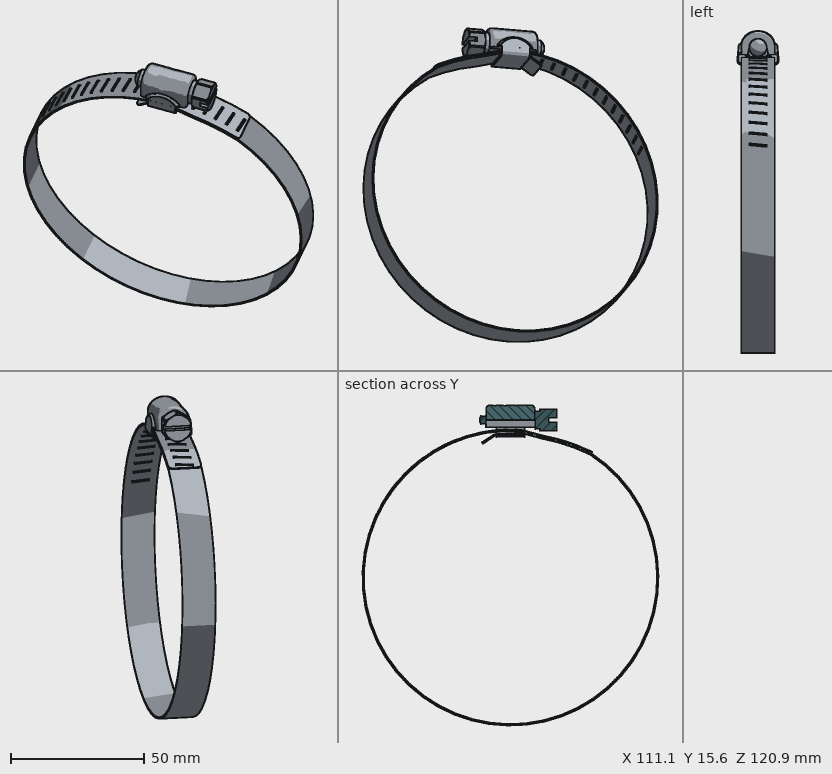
import cadquery as cq
import math


ring_radius = 55.55
band_width = 12.7
band_thickness = 0.6
band_corner_radius = 1.5
lap_gap = 0.03
overall_height = 120.85
inner_radius = ring_radius - band_thickness

bend_angle = 4.1
exit_angle = 5.6
crease_angle = 12.9
lap_middle_angle = 22.9
tip_angle = 33.1
exit_radius = 55.30
crease_radius = 54.60
lap_middle_radius = 55.18
layer_pitch = band_thickness + lap_gap
tip_radius = ring_radius + layer_pitch

tail_bend_x = -5.9
tail_bend_z = 53.75
tail_length = 5.7
tail_slope = 33.0

slot_count = 21
first_slot_angle = -66.1
slot_pitch_angle = 4.87
slot_length = 6.5
slot_width = 0.7
slot_tilt = 6.0

housing_length = 18.5
housing_end_x = housing_length / 2
housing_top = overall_height - ring_radius
housing_half_width = band_width / 2
shoulder_z = 59.6
housing_bottom = 56.3
housing_end_radius = 1.45
mouth_half_width = 3.9
mouth_top_half_width = 3.3

ear_outer_half = 6.9
ear_outer_top = 60.75
ear_face_half = 5.4
ear_face_top = 59.55
ear_spring_z = 57.0
ear_top_y = 7.2
overall_width = 15.63
saddle_half_width = overall_width / 2
saddle_bottom = 52.6
saddle_thickness = 0.5
saddle_corner_radius = 1.7

screw_axis_z = 59.05
shank_radius = 2.6
knob_radius = 3.3
dome_height = 1.9
dome_start_x = -11.1
collar_radius = 4.5
head_start_x = 11.0
head_end_x = 17.4
head_flats = 10.0
head_round_radius = 5.6
head_chamfer = 0.5
drive_slot_width = 1.6
drive_slot_depth = 3.0


def polar(angle, radius):
    """Point in XZ at an angle measured clockwise from the top."""
    turn = math.radians(angle)
    return (radius * math.sin(turn), radius * math.cos(turn))


def extrude_across(outline, width):
    """Extrude a closed XZ outline symmetrically about the XZ plane."""
    return outline.extrude(width / 2, both=True)


def draw_upper_lap(outline):
    """Continue an outline from the bend out to the tip and back along the inside."""
    depth = band_thickness
    return (
        outline.lineTo(*polar(crease_angle, crease_radius))
        .threePointArc(polar(lap_middle_angle, lap_middle_radius), polar(tip_angle, tip_radius))
        .lineTo(*polar(tip_angle, tip_radius - depth))
        .threePointArc(
            polar(lap_middle_angle, lap_middle_radius - depth),
            polar(crease_angle, crease_radius - depth),
        )
        .lineTo(*polar(bend_angle, inner_radius))
    )


def make_plain_band():
    """Unpunched strip: tail, lower lap, once round the ring, upper lap."""
    slope = math.radians(tail_slope)
    far_angle = (tip_angle + bend_angle + 360) / 2
    tail_end_x = tail_bend_x - tail_length * math.cos(slope)
    tail_end_z = tail_bend_z - tail_length * math.sin(slope)
    top = layer_pitch
    bottom = layer_pitch + band_thickness
    outline = (
        cq.Workplane("XZ")
        .moveTo(tail_end_x, tail_end_z)
        .lineTo(tail_bend_x, tail_bend_z)
        .lineTo(*polar(exit_angle, exit_radius - top))
        .lineTo(*polar(crease_angle, crease_radius - top))
        .threePointArc(polar(lap_middle_angle, lap_middle_radius - top), polar(tip_angle, ring_radius))
        .threePointArc(polar(far_angle, ring_radius), polar(bend_angle, ring_radius))
    )
    outline = (
        draw_upper_lap(outline)
        .threePointArc(polar(far_angle, inner_radius), polar(tip_angle, inner_radius))
        .threePointArc(
            polar(lap_middle_angle, lap_middle_radius - bottom),
            polar(crease_angle, crease_radius - bottom),
        )
        .lineTo(*polar(exit_angle, exit_radius - bottom))
        .lineTo(tail_bend_x, tail_bend_z - band_thickness)
        .line(
            tail_end_x - tail_bend_x + band_thickness * math.sin(slope),
            tail_end_z - tail_bend_z + band_thickness * (1 - math.cos(slope)),
        )
        .close()
    )
    strip = extrude_across(outline, band_width)
    tip_x, tip_z = polar(tip_angle, tip_radius - band_thickness / 2)
    tail_middle_x = tail_end_x + band_thickness * math.sin(slope) / 2
    tail_middle_z = tail_end_z - band_thickness * math.cos(slope) / 2
    for x, z in ((tip_x, tip_z), (tail_middle_x, tail_middle_z)):
        for y in (-band_width / 2, band_width / 2):
            corner = cq.selectors.NearestToPointSelector((x, y, z))
            strip = strip.edges(corner).fillet(band_corner_radius)
    return strip


def make_slots():
    """Tilted radial slots, confined to the upper layer so the lower lap stays whole."""
    layer_start = 2 * first_slot_angle
    middle_angle = (layer_start + bend_angle) / 2
    outline = (
        cq.Workplane("XZ")
        .moveTo(*polar(layer_start, ring_radius))
        .threePointArc(polar(middle_angle, ring_radius), polar(bend_angle, ring_radius))
    )
    outline = (
        draw_upper_lap(outline)
        .threePointArc(polar(middle_angle, inner_radius), polar(layer_start, inner_radius))
        .close()
    )
    layer = extrude_across(outline, band_width)
    punch = (
        cq.Workplane("XY")
        .box(slot_width, slot_length, 8 * band_thickness)
        .rotate((0, 0, 0), (0, 0, 1), -slot_tilt)
        .translate((0, 0, ring_radius))
    )
    slots = []
    for index in range(slot_count):
        angle = first_slot_angle + index * slot_pitch_angle
        slots.append(punch.rotate((0, 0, 0), (0, 1, 0), angle).intersect(layer))
    return slots


def make_band():
    strip = make_plain_band()
    for slot in make_slots():
        strip = strip.cut(slot)
    return strip


def make_crown():
    """Block with an elliptical top and rounded ends."""
    block = (
        cq.Workplane("YZ", origin=(-housing_end_x, 0, 0))
        .moveTo(housing_half_width, housing_bottom)
        .lineTo(housing_half_width, shoulder_z)
        .ellipseArc(housing_half_width, housing_top - shoulder_z, 0, 180)
        .lineTo(-housing_half_width, housing_bottom)
        .close()
        .extrude(housing_length)
    )
    outer_edges = block.faces("<X or >X").edges("not <Z")
    return outer_edges.fillet(housing_end_radius)


def make_side_envelope(inset, half_length):
    """Block whose section follows the leaning ear faces and the rounded saddle."""
    half = saddle_half_width - inset
    floor = saddle_bottom + inset
    radius = saddle_corner_radius - inset
    block = (
        cq.Workplane("YZ", origin=(-half_length, 0, 0))
        .moveTo(-ear_top_y + inset, ear_outer_top)
        .lineTo(-half, floor + radius)
        .radiusArc((radius - half, floor), -radius)
        .lineTo(half - radius, floor)
        .radiusArc((half, floor + radius), -radius)
        .lineTo(ear_top_y - inset, ear_outer_top)
        .close()
    )
    return block.extrude(2 * half_length)


def make_ear():
    """Bulge on the -Y wall, narrowing from the wall to its leaning flat face."""
    cone = (
        cq.Workplane("XZ", origin=(0, -housing_half_width, 0))
        .moveTo(-ear_outer_half, housing_bottom)
        .lineTo(-ear_outer_half, ear_spring_z)
        .threePointArc((0, ear_outer_top), (ear_outer_half, ear_spring_z))
        .lineTo(ear_outer_half, housing_bottom)
        .close()
        .workplane(offset=saddle_half_width - housing_half_width)
        .moveTo(-ear_face_half, housing_bottom)
        .lineTo(-ear_face_half, ear_spring_z)
        .threePointArc((0, ear_face_top), (ear_face_half, ear_spring_z))
        .lineTo(ear_face_half, housing_bottom)
        .close()
        .loft(ruled=True)
    )
    return cone.intersect(make_side_envelope(0, ear_outer_half))


def make_saddle():
    """Strap that runs from both ears down and under the band."""
    strap = make_side_envelope(0, ear_face_half).cut(
        make_side_envelope(saddle_thickness, ear_face_half)
    )
    above_ears = cq.Workplane("XY", origin=(0, 0, ear_spring_z)).box(
        4 * ear_face_half, 4 * saddle_half_width, housing_top, centered=(True, True, False)
    )
    return strap.cut(above_ears)


def make_screw_passage():
    """Bore for the shank, open and widening toward the band."""
    bore = (
        cq.Workplane("YZ", origin=(-housing_end_x, 0, 0))
        .center(0, screw_axis_z)
        .circle(shank_radius)
        .extrude(housing_length)
    )
    mouth = (
        cq.Workplane("YZ", origin=(-housing_end_x, 0, 0))
        .moveTo(-mouth_top_half_width, screw_axis_z)
        .lineTo(mouth_top_half_width, screw_axis_z)
        .lineTo(mouth_half_width, housing_bottom)
        .lineTo(-mouth_half_width, housing_bottom)
        .close()
        .extrude(housing_length)
    )
    return bore.union(mouth)


def make_housing():
    ear = make_ear()
    body = make_crown().union(ear).union(ear.mirror("XZ")).union(make_saddle())
    return body.cut(make_screw_passage())


def make_shank():
    """Domed knob, shank and collar, turned about the screw axis."""
    dome_radius = (knob_radius**2 + dome_height**2) / (2 * dome_height)
    dome_tip_x = dome_start_x - dome_height
    half_angle = math.asin(knob_radius / dome_radius) / 2
    dome_middle = (
        dome_tip_x + dome_radius * (1 - math.cos(half_angle)),
        dome_radius * math.sin(half_angle),
    )
    return (
        cq.Workplane("XY")
        .moveTo(dome_tip_x, 0)
        .threePointArc(dome_middle, (dome_start_x, knob_radius))
        .lineTo(-housing_end_x, knob_radius)
        .lineTo(-housing_end_x, shank_radius)
        .lineTo(housing_end_x, shank_radius)
        .lineTo(housing_end_x, collar_radius)
        .lineTo(head_start_x, collar_radius)
        .lineTo(head_start_x, 0)
        .close()
        .revolve(360, (0, 0, 0), (1, 0, 0))
        .translate((0, 0, screw_axis_z))
    )


def make_head():
    """Slotted hexagon head with flats facing +Y and -Y and turned corners."""
    length = head_end_x - head_start_x
    start = cq.Workplane("YZ", origin=(head_start_x, 0, screw_axis_z))
    hexagon = start.polygon(6, head_flats, circumscribed=True).extrude(length)
    turned = start.circle(head_round_radius).extrude(length).faces("<X or >X").chamfer(head_chamfer)
    drive_slot = cq.Workplane("XY").box(2 * drive_slot_depth, 2 * head_flats, drive_slot_width)
    return hexagon.intersect(turned).cut(drive_slot.translate((head_end_x, 0, screw_axis_z)))


def make_screw():
    return make_shank().union(make_head())


band = make_band()
housing = make_housing()
screw = make_screw()

result = cq.Compound.makeCompound([*band.solids().vals(), *housing.solids().vals(), *screw.solids().vals()])